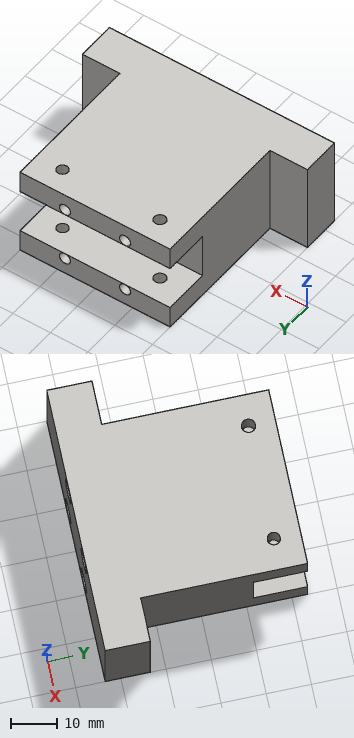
import cadquery as cq

flange_width = 60.0
flange_depth = 10.0
height = 24.0

total_depth = 47.0
body_width = 40.0

slot_depth = 12.0
slot_height = 12.0

left_pin_diameter = 3.0
right_pin_diameter = 2.8
pin_spacing = 26.0
pin_end_distance = 6.0

screw_diameter = 2.95
screw_spacing_x = 16.0
screw_spacing_z = 15.0
counterbore_diameter = 5.5
counterbore_depth = flange_depth


def make_block():
    """T-shaped block, centred on X and Z, with the flange face at Y = 0."""
    flange = cq.Workplane("XY").box(flange_width, flange_depth, height, centered=(True, False, True))
    body = cq.Workplane("XY").box(body_width, total_depth, height, centered=(True, False, True))
    return flange.union(body)


def make_slot():
    """Cutter that separates the two fork arms."""
    slot = cq.Workplane("XY").box(body_width, slot_depth, slot_height, centered=(True, False, True))
    return slot.translate((0, total_depth - slot_depth, 0))


def make_pin_hole(x, diameter):
    """Cutter for one hole through both arms."""
    return (
        cq.Workplane("XY", origin=(x, total_depth - pin_end_distance, 0))
        .circle(diameter / 2)
        .extrude(height / 2, both=True)
    )


def make_screw_cylinders(diameter, depth):
    """Four cylinders running from the flange face towards +Y."""
    return (
        cq.Workplane("XZ")
        .rarray(screw_spacing_x, screw_spacing_z, 2, 2)
        .circle(diameter / 2)
        .extrude(-depth)
    )


result = (
    make_block()
    .cut(make_slot())
    .cut(make_pin_hole(-pin_spacing / 2, left_pin_diameter))
    .cut(make_pin_hole(pin_spacing / 2, right_pin_diameter))
    .cut(make_screw_cylinders(screw_diameter, total_depth))
    .cut(make_screw_cylinders(counterbore_diameter, counterbore_depth))
)